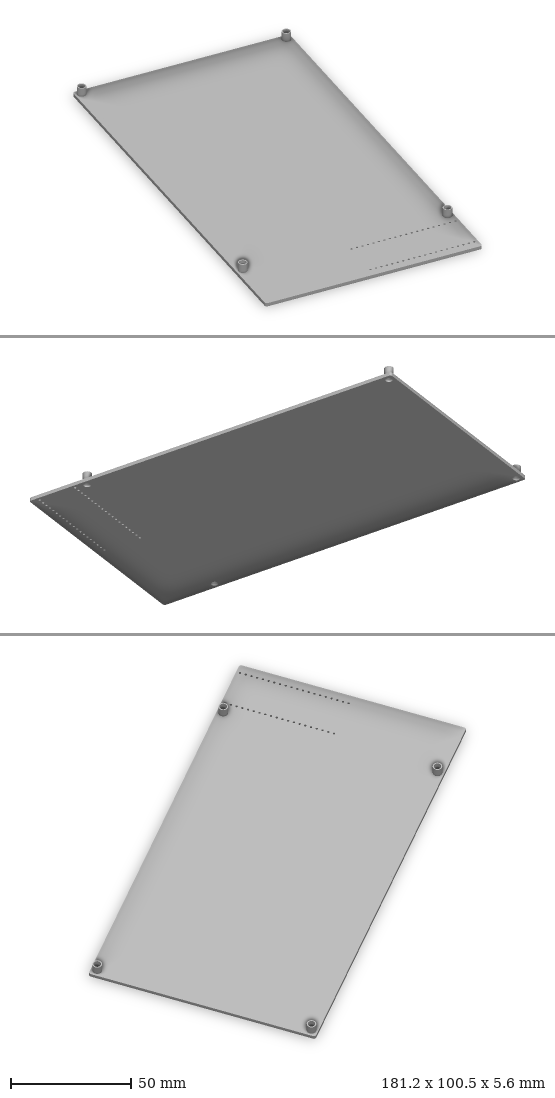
import cadquery as cq

board_length = 181.2
board_width = 100.5
board_thickness = 1.6
corner_radius = 1.0

standoff_height = 4.0
standoff_diameter = 4.0
mounting_hole_diameter = 3.0

mount_left_x = -87.7
mount_right_x = 63.4
mount_y = 47.5
mount_points = [(x, y) for x in (mount_left_x, mount_right_x) for y in (-mount_y, mount_y)]

pin_hole_diameter = 1.0
pins_per_row = 20
pin_pitch = 2.5
first_row_x = 68.7
row_spacing = 17.8
top_pin_y = 48.5


def pin_hole_points():
    """Centres of the header holes, each row running down from its top hole."""
    return [
        (row_x, top_pin_y - i * pin_pitch)
        for row_x in (first_row_x, first_row_x + row_spacing)
        for i in range(pins_per_row)
    ]


def drill(body, points, diameter):
    """Cut holes right through the board at the given points."""
    drills = cq.Workplane("XY").pushPoints(points).circle(diameter / 2).extrude(board_thickness)
    return body.cut(drills)


def make_board():
    """Flat board with rounded corners, mounting holes and header holes."""
    blank = cq.Workplane("XY").box(board_length, board_width, board_thickness, centered=(True, True, False))
    blank = blank.edges("|Z").fillet(corner_radius)
    blank = drill(blank, mount_points, mounting_hole_diameter)
    return drill(blank, pin_hole_points(), pin_hole_diameter)


def make_standoff(x, y):
    """Round tube standing on the board around the mounting hole at (x, y)."""
    return (
        cq.Workplane("XY", origin=(x, y, board_thickness))
        .circle(standoff_diameter / 2)
        .circle(mounting_hole_diameter / 2)
        .extrude(standoff_height)
    )


board = make_board()
standoffs = [make_standoff(x, y) for x, y in mount_points]

result = cq.Compound.makeCompound([board.val(), *[standoff.val() for standoff in standoffs]])